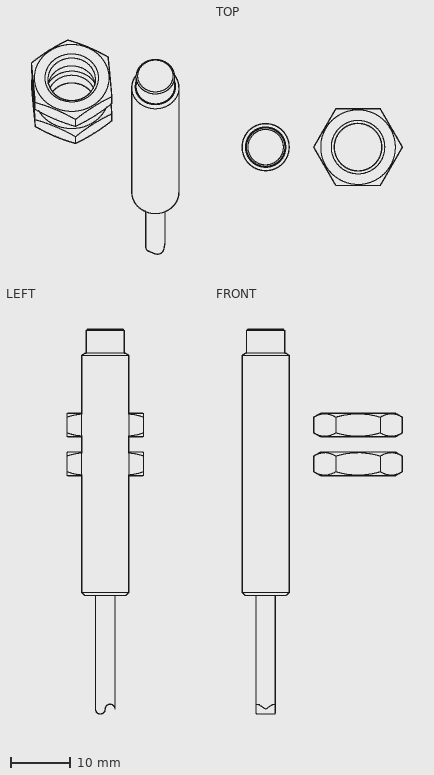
import cadquery as cq
import math

total_height = 65.0
barrel_diameter = 8.0
barrel_radius = barrel_diameter / 2
barrel_bottom = 20.0
nose_diameter = 6.5
nose_length = 4.0
nose_chamfer = 0.25
shoulder_chamfer_width = 0.6
shoulder_chamfer_height = 0.4
bottom_chamfer = 0.5
shoulder_height = total_height - nose_length
cable_diameter = 3.3
cable_radius = cable_diameter / 2

nut_across_flats = 13.0
nut_thickness = 4.0
nut_gap = 2.55
lower_nut_bottom = 40.25
nut_offset_x = 15.6
nut_count = 2
nut_bore_diameter = barrel_diameter
nut_bore_chamfer = 0.5
nut_face_diameter = 12.6
nut_corner_angle = 30.0


def make_barrel():
    """Barrel and nose, revolved from one half section."""
    nose_radius = nose_diameter / 2
    return (
        cq.Workplane("XZ")
        .moveTo(0, barrel_bottom)
        .lineTo(barrel_radius - bottom_chamfer, barrel_bottom)
        .lineTo(barrel_radius, barrel_bottom + bottom_chamfer)
        .lineTo(barrel_radius, shoulder_height - shoulder_chamfer_height)
        .lineTo(barrel_radius - shoulder_chamfer_width, shoulder_height)
        .lineTo(nose_radius, shoulder_height)
        .lineTo(nose_radius, total_height - nose_chamfer)
        .lineTo(nose_radius - nose_chamfer, total_height)
        .lineTo(0, total_height)
        .close()
        .revolve(360, (0, 0, 0), (0, 1, 0))
    )


def make_cable():
    """Round cable whose cut end is an S-wave of two half circles."""
    wave_radius = cable_radius / 2
    cable = cq.Workplane("XY").circle(cable_radius).extrude(barrel_bottom)
    side_outline = (
        cq.Workplane("YZ")
        .moveTo(-cable_radius, wave_radius)
        .threePointArc((-wave_radius, 2 * wave_radius), (0, wave_radius))
        .threePointArc((wave_radius, 0), (cable_radius, wave_radius))
        .lineTo(cable_radius, barrel_bottom)
        .lineTo(-cable_radius, barrel_bottom)
        .close()
        .extrude(cable_radius, both=True)
    )
    return cable.intersect(side_outline)


def make_sensor():
    """Barrel and cable joined into one body."""
    return make_barrel().union(make_cable())


def make_nut(bottom):
    """Hexagon nut with corners turned to a cone and a bore chamfered at both ends."""
    corner_diameter = nut_across_flats / math.cos(math.pi / 6)
    corner_radius = corner_diameter / 2
    face_radius = nut_face_diameter / 2
    corner_drop = (corner_radius - face_radius) * math.tan(math.radians(nut_corner_angle))
    hexagon = cq.Workplane("XY").polygon(6, corner_diameter).extrude(nut_thickness)
    turned_blank = (
        cq.Workplane("XZ")
        .moveTo(0, 0)
        .lineTo(face_radius, 0)
        .lineTo(corner_radius, corner_drop)
        .lineTo(corner_radius, nut_thickness - corner_drop)
        .lineTo(face_radius, nut_thickness)
        .lineTo(0, nut_thickness)
        .close()
        .revolve(360, (0, 0, 0), (0, 1, 0))
    )
    bore = cq.Workplane("XY").circle(nut_bore_diameter / 2).extrude(nut_thickness)
    nut = hexagon.intersect(turned_blank).cut(bore)
    smallest_circles = cq.selectors.RadiusNthSelector(0)
    bore_rims = nut.faces("<Z or >Z").edges("%CIRCLE").edges(smallest_circles)
    nut = bore_rims.chamfer(nut_bore_chamfer)
    return nut.translate((nut_offset_x, 0, bottom))


sensor = make_sensor()
nuts = [
    make_nut(lower_nut_bottom + index * (nut_thickness + nut_gap))
    for index in range(nut_count)
]

result = cq.Compound.makeCompound([sensor.val(), *[nut.val() for nut in nuts]])